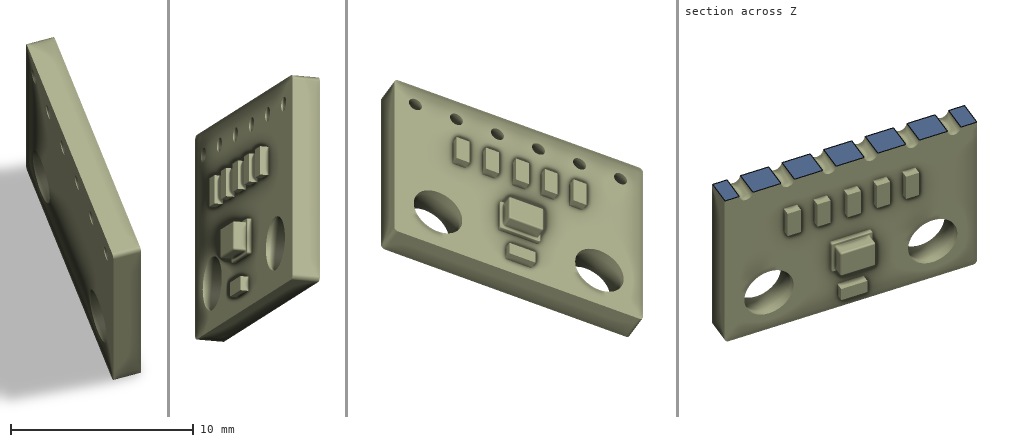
import cadquery as cq


BOARD_WIDTH = 15.4
BOARD_HEIGHT = 11.55
BOARD_THICKNESS = 1.6
BOARD_CORNER_RADIUS = 0.25

PIN_HOLE_COUNT = 6
PIN_HOLE_DIAMETER = 0.8
PIN_HOLE_PITCH = 2.54
PIN_HOLE_ROW_X = 0.05
PIN_HOLE_TOP_MARGIN = 1.37

MOUNT_HOLE_DIAMETER = 3.0
MOUNT_HOLE_SPACING = 10.0
MOUNT_HOLE_BOTTOM_MARGIN = 2.6

CHIP_LENGTH = 1.6
CHIP_WIDTH = 0.8
CHIP_HEIGHT = 0.5
UPPER_CHIP_XS = [-3.53, -1.75, 0.03, 1.88, 3.7]
UPPER_CHIP_TOP_MARGIN = 4.05
LOWER_CHIP_BOTTOM_MARGIN = 1.28
UPPER_CHIP_Z = BOARD_HEIGHT / 2 - UPPER_CHIP_TOP_MARGIN
LOWER_CHIP_Z = -BOARD_HEIGHT / 2 + LOWER_CHIP_BOTTOM_MARGIN

SENSOR_X = 0.03
SENSOR_BOTTOM_MARGIN = 3.88
SENSOR_Z = -BOARD_HEIGHT / 2 + SENSOR_BOTTOM_MARGIN
SENSOR_HEIGHT = 1.0
SENSOR_BASE_WIDTH = 2.51
SENSOR_BASE_LENGTH = 2.0
SENSOR_BASE_HEIGHT = 0.26
SENSOR_LID_INSET = 0.18
SENSOR_EDGE_RADIUS = 0.1
SENSOR_BASE_RIM_RADIUS = 0.05
SENSOR_COVE_RADIUS = 0.05

SELECTION_MARGIN = 0.008


def block_on_board(width, depth, height, x, z, standoff=0.0):
    """Block with its X size, Y height and Z depth, sitting off the component face."""
    return (
        cq.Workplane("XY")
        .box(width, height, depth, centered=(True, False, True))
        .translate((x, BOARD_THICKNESS + standoff, z))
    )


def drill(board, diameter, points):
    """Cut through holes along Y at the given (X, Z) points."""
    for x, z in points:
        hole = cq.Workplane("XZ").center(x, z).circle(diameter / 2).extrude(-BOARD_THICKNESS)
        board = board.cut(hole)
    return board


def make_board():
    """Rounded board with its holes and the chips on its component face."""
    board = (
        cq.Workplane("XY")
        .box(BOARD_WIDTH, BOARD_THICKNESS, BOARD_HEIGHT, centered=(True, False, True))
        .edges("|Y")
        .fillet(BOARD_CORNER_RADIUS)
    )

    pin_hole_z = BOARD_HEIGHT / 2 - PIN_HOLE_TOP_MARGIN
    first_pin_x = PIN_HOLE_ROW_X - PIN_HOLE_PITCH * (PIN_HOLE_COUNT - 1) / 2
    pin_points = [(first_pin_x + i * PIN_HOLE_PITCH, pin_hole_z) for i in range(PIN_HOLE_COUNT)]
    board = drill(board, PIN_HOLE_DIAMETER, pin_points)

    mount_hole_z = -BOARD_HEIGHT / 2 + MOUNT_HOLE_BOTTOM_MARGIN
    mount_points = [(side * MOUNT_HOLE_SPACING / 2, mount_hole_z) for side in (-1, 1)]
    board = drill(board, MOUNT_HOLE_DIAMETER, mount_points)

    for x in UPPER_CHIP_XS:
        board = board.union(block_on_board(CHIP_WIDTH, CHIP_LENGTH, CHIP_HEIGHT, x, UPPER_CHIP_Z))
    return board.union(block_on_board(CHIP_LENGTH, CHIP_WIDTH, CHIP_HEIGHT, SENSOR_X, LOWER_CHIP_Z))


def make_sensor():
    """Sensor package: rounded base plate with a rounded lid on top."""
    base = (
        block_on_board(SENSOR_BASE_WIDTH, SENSOR_BASE_LENGTH, SENSOR_BASE_HEIGHT, SENSOR_X, SENSOR_Z)
        .edges("|Y")
        .fillet(SENSOR_EDGE_RADIUS)
        .faces(">Y")
        .edges()
        .fillet(SENSOR_BASE_RIM_RADIUS)
    )
    lid_width = SENSOR_BASE_WIDTH - 2 * SENSOR_LID_INSET
    lid_length = SENSOR_BASE_LENGTH - 2 * SENSOR_LID_INSET
    lid_height = SENSOR_HEIGHT - SENSOR_BASE_HEIGHT
    lid = (
        block_on_board(lid_width, lid_length, lid_height, SENSOR_X, SENSOR_Z, standoff=SENSOR_BASE_HEIGHT)
        .edges("|Y or >Y")
        .fillet(SENSOR_EDGE_RADIUS)
    )

    foot_y = BOARD_THICKNESS + SENSOR_BASE_HEIGHT
    half_x = lid_width / 2 + SELECTION_MARGIN
    half_z = lid_length / 2 + SELECTION_MARGIN
    foot_slab = cq.selectors.BoxSelector(
        (SENSOR_X - half_x, foot_y - SELECTION_MARGIN, SENSOR_Z - half_z),
        (SENSOR_X + half_x, foot_y + SELECTION_MARGIN, SENSOR_Z + half_z),
        boundingbox=True,
    )
    return base.union(lid).edges(foot_slab).fillet(SENSOR_COVE_RADIUS)


board = make_board()
sensor = make_sensor()

result = cq.Compound.makeCompound([board.val(), sensor.val()])